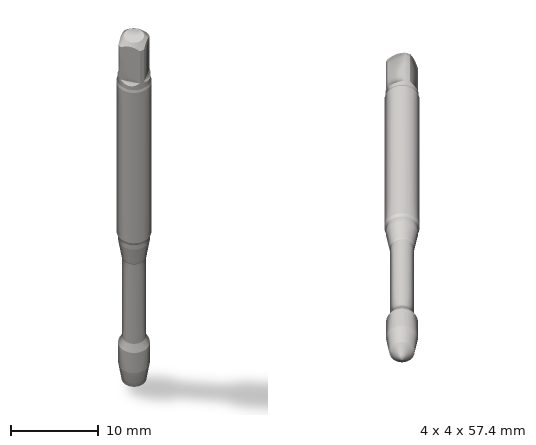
import cadquery as cq

total_length = 57.4

point_diameter = 2.85
head_diameter = 3.6
neck_diameter = 2.7
point_height = point_diameter / 2
lead_top = 4.1
thread_top = 7.35
head_top = 8.4

shoulder_small_diameter = 2.85
collar_diameter = 3.7
shank_diameter = 4.0
neck_top = 21.35
shoulder_bottom = 21.5
collar_bottom = 24.3
collar_top = 25.0
shank_bottom = 25.5
shank_top = 50.05

stub_diameter = 3.8
stub_bottom = 50.4
end_face_diameter = 2.3
end_chamfer = (stub_diameter - end_face_diameter) / 2
square_width = 3.05
square_bottom = 51.4
flat_count = 4


def revolve_profile(diameters_and_heights):
    """Turn a stepped profile, given from bottom to top, about the Z axis."""
    rims = [(diameter / 2, height) for diameter, height in diameters_and_heights]
    bottom = rims[0][1]
    top = rims[-1][1]
    outline = [(0, bottom)] + [rim for rim in rims if rim[0] > 0] + [(0, top)]
    return cq.Workplane("XZ").polyline(outline).close().revolve(360, (0, 0), (0, 1))


def make_cutting_head():
    return revolve_profile([
        (0, 0),
        (point_diameter, point_height),
        (head_diameter, lead_top),
        (head_diameter, thread_top),
        (neck_diameter, head_top),
    ])


def make_flat_cutter():
    """Material outside one flat of the square, with a 45 degree run-out at its lower end."""
    flat_offset = square_width / 2
    reach = shank_diameter / 2
    run_out_drop = reach - flat_offset
    return (
        cq.Workplane("XZ")
        .polyline([
            (flat_offset, square_bottom),
            (reach, square_bottom - run_out_drop),
            (reach, total_length),
            (flat_offset, total_length),
        ])
        .close()
        .extrude(reach, both=True)
    )


def make_holder():
    holder = revolve_profile([
        (neck_diameter, head_top),
        (neck_diameter, neck_top),
        (shoulder_small_diameter, shoulder_bottom),
        (collar_diameter, collar_bottom),
        (collar_diameter, collar_top),
        (shank_diameter, shank_bottom),
        (shank_diameter, shank_top),
        (stub_diameter, stub_bottom),
        (stub_diameter, total_length - end_chamfer),
        (end_face_diameter, total_length),
    ])
    flat_cutter = make_flat_cutter()
    for index in range(flat_count):
        angle = index * 360 / flat_count
        holder = holder.cut(flat_cutter.rotate((0, 0, 0), (0, 0, 1), angle))
    return holder


cutting_head = make_cutting_head()
holder = make_holder()
result = cq.Compound.makeCompound([cutting_head.val(), holder.val()])